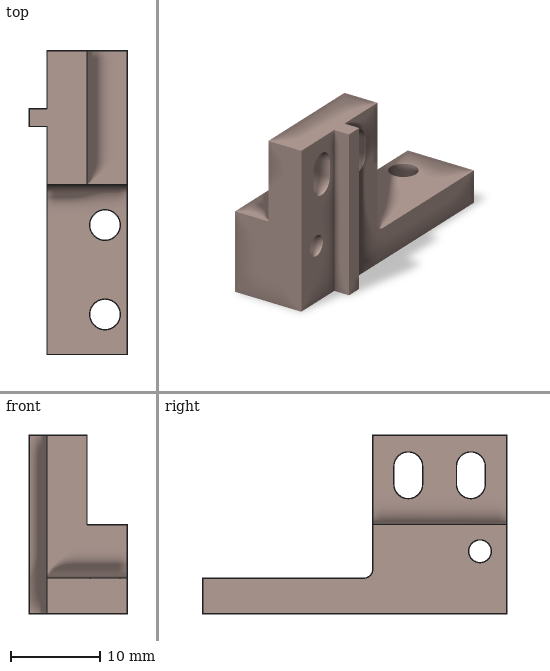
import cadquery as cq

length = 34.0
height = 20.0
body_width = 9.0

wall_depth = 15.0
wall_thickness = 4.5
step_height = 10.0

foot_height = 4.0
corner_radius = 1.0

rib_size = 2.0
rib_from_back = 6.5

slot_width = 3.2
slot_length = 5.2
slot_from_top = 4.5
slots_from_back = (4.0, 11.0)
pin_diameter = 2.5
pin_from_back = 3.0
pin_height = 7.0

mount_diameter = 3.4
mount_from_right = 2.5
mount_from_front = 4.5
mount_spacing = 10.0


def make_body():
    """L-shaped side profile, with the upper right part of the wall cut back."""
    wall_front = length - wall_depth
    body = (
        cq.Workplane("YZ")
        .moveTo(0, 0)
        .lineTo(length, 0)
        .lineTo(length, height)
        .lineTo(wall_front, height)
        .lineTo(wall_front, foot_height + corner_radius)
        .radiusArc((wall_front - corner_radius, foot_height), corner_radius)
        .lineTo(0, foot_height)
        .close()
        .extrude(body_width)
    )
    step_cut = cq.Workplane("XY").box(
        body_width - wall_thickness, length, height - step_height, centered=False
    )
    return body.cut(step_cut.translate((wall_thickness, 0, step_height)))


def make_rib():
    """Full-height square rib standing out from the left face."""
    rib = cq.Workplane("XY").box(rib_size, rib_size, height, centered=False)
    return rib.translate((-rib_size, length - rib_from_back - rib_size, 0))


def make_wall_openings():
    """Two upright slots and a round hole running across the full body width."""
    slot_centers = [(length - offset, height - slot_from_top) for offset in slots_from_back]
    slots = (
        cq.Workplane("YZ")
        .pushPoints(slot_centers)
        .slot2D(slot_length, slot_width, 90)
        .extrude(body_width)
    )
    pin_hole = (
        cq.Workplane("YZ")
        .center(length - pin_from_back, pin_height)
        .circle(pin_diameter / 2)
        .extrude(body_width)
    )
    return slots.union(pin_hole)


def make_mount_holes():
    """Row of vertical holes through the foot."""
    x = body_width - mount_from_right
    centers = [(x, mount_from_front), (x, mount_from_front + mount_spacing)]
    return cq.Workplane("XY").pushPoints(centers).circle(mount_diameter / 2).extrude(foot_height)


result = make_body().union(make_rib()).cut(make_wall_openings()).cut(make_mount_holes())